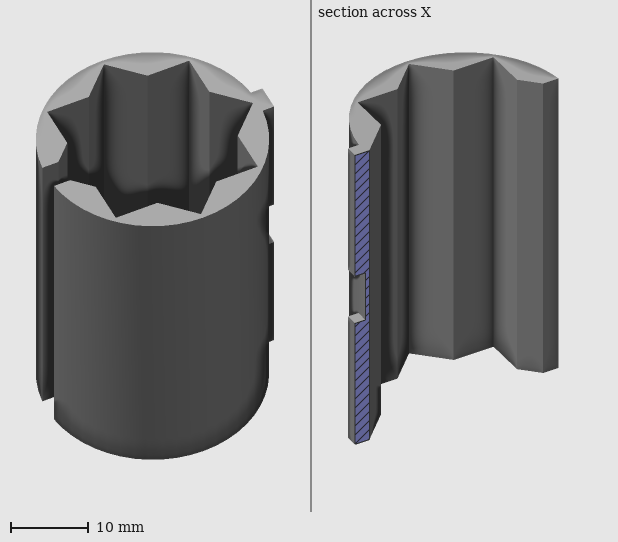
import cadquery as cq

length = 45.0
outer_radius = 15.0

square_side = 20.25
square_turns = (0, 45)

slot_width = 3.45
key_tip = 16.5
key_gap = 7.25
key_length = (length - key_gap) / 2


def square_bore(turn):
    """Square prism along the whole sleeve, turned about the axis."""
    prism = cq.Workplane("XY").rect(square_side, square_side).extrude(length)
    return prism.rotate((0, 0, 0), (0, 0, 1), turn)


def key(bottom):
    """Key bar reaching from the axis to the tip; the bore trims its inner end."""
    return (
        cq.Workplane("XY", origin=(0, key_tip / 2, bottom))
        .rect(slot_width, key_tip)
        .extrude(key_length)
    )


result = cq.Workplane("XY").circle(outer_radius).extrude(length)

for key_bottom in (0, length - key_length):
    result = result.union(key(key_bottom))

for turn in square_turns:
    result = result.cut(square_bore(turn))

slot = (
    cq.Workplane("XY", origin=(0, -outer_radius / 2, 0))
    .rect(slot_width, outer_radius)
    .extrude(length)
)
result = result.cut(slot)